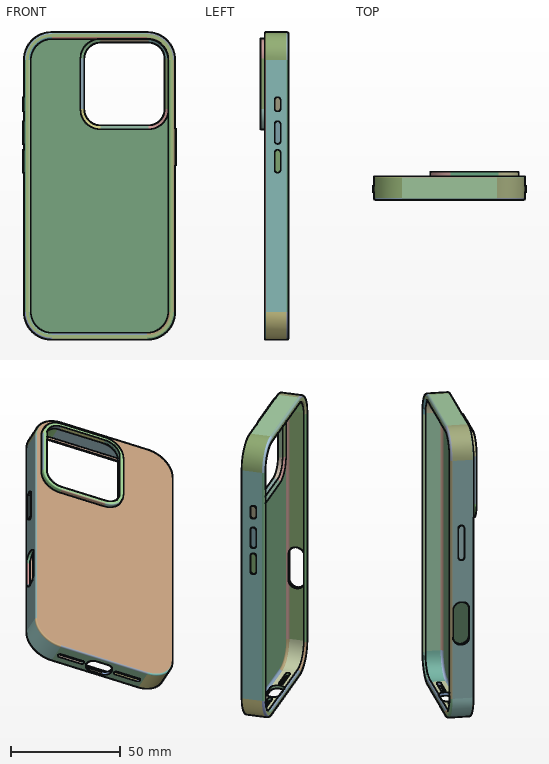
import cadquery as cq
import math

height = 140.0
width = 68.9
depth = 10.9
corner_radius = 12.7
wall = 1.7
back_thickness = 1.4
rim_fillet = 1.0
back_fillet = 0.7

lip_width = 3.2
lip_height = 1.1

cavity_fillet = 1.1

frame_left = -8.8
frame_right = 31.5
frame_bottom = 25.6
frame_top = 67.1
frame_radius = 9.2
frame_rise = 2.0
frame_edge_fillet = 0.4
frame_wall = 2.0
window_flare = 1.8
flare_depth = 1.1

button_width = 2.8
button_rise = 0.49
button_y = 5.0
left_buttons = [(33.9, 40.3), (19.0, 29.4), (6.0, 16.4)]
right_buttons = [(9.4, 26.0)]

side_slot_bottom = -31.5
side_slot_top = -10.9
side_slot_width = 7.5

port_length = 12.6
port_width = 6.7
speaker_length = 12.9
speaker_width = 2.0
speaker_x = 14.0
bottom_opening_y = 5.0


def rounded_block(left, right, bottom, top, radius, y_start, y_end, taper=0):
    """Block with its four Y-direction edges rounded; a taper narrows it towards the back."""
    outline = cq.Sketch().rect(right - left, top - bottom).vertices().fillet(radius)
    start = cq.Plane(
        origin=((left + right) / 2, y_start, (bottom + top) / 2), xDir=(1, 0, 0), normal=(0, 1, 0)
    )
    return cq.Workplane(start).placeSketch(outline).extrude(y_end - y_start, taper=taper)


def inset_block(inset, y_start, y_end):
    """Block following the case outline, moved inward by the inset."""
    x_reach = width / 2 - inset
    z_reach = height / 2 - inset
    return rounded_block(-x_reach, x_reach, -z_reach, z_reach, corner_radius - inset, y_start, y_end)


def frame_block(inset, y_start, y_end, taper=0):
    """Block following the camera frame outline, moved inward by the inset."""
    return rounded_block(
        frame_left + inset,
        frame_right - inset,
        frame_bottom + inset,
        frame_top - inset,
        frame_radius - inset,
        y_start,
        y_end,
        taper,
    )


def side_pill(bottom, top, pill_width, x_start, x_end):
    """Round-ended bar along Z, extruded along X."""
    return (
        cq.Workplane("YZ", origin=(x_start, button_y, (bottom + top) / 2))
        .slot2D(top - bottom, pill_width, 90)
        .extrude(x_end - x_start)
    )


def bottom_opening(x_center, length, opening_width):
    """Round-ended cutter along X, passing through the bottom wall."""
    return (
        cq.Workplane("XY", origin=(x_center, bottom_opening_y, -height / 2 - wall))
        .slot2D(length, opening_width)
        .extrude(3 * wall)
    )


half_width = width / 2
floor_y = depth - back_thickness
frame_y = depth + frame_rise

shell = inset_block(0, 0, depth).cut(inset_block(lip_width, 0, floor_y))
shell = shell.faces("<Y").edges().fillet(rim_fillet)
shell = shell.faces(">Y").edges().fillet(back_fillet)
frame = frame_block(0, floor_y, frame_y).faces(">Y").edges().fillet(frame_edge_fillet)
result = shell.union(frame)

cavity = inset_block(wall, lip_height, floor_y).faces(">Y").edges().fillet(cavity_fillet)
result = result.cut(cavity)

window = frame_block(frame_wall, floor_y, frame_y)
flare_angle = math.degrees(math.atan2(window_flare, flare_depth))
flare = frame_block(frame_wall - window_flare, floor_y, floor_y + flare_depth, flare_angle)
result = result.cut(window).cut(flare)

for low, high in left_buttons:
    result = result.union(side_pill(low, high, button_width, -half_width - button_rise, -half_width + wall / 2))
for low, high in right_buttons:
    result = result.union(side_pill(low, high, button_width, half_width - wall / 2, half_width + button_rise))

side_slot = side_pill(
    side_slot_bottom, side_slot_top, side_slot_width, half_width - 2 * wall, half_width + wall
)
result = result.cut(side_slot)

result = result.cut(bottom_opening(0, port_length, port_width))
for side in (-1, 1):
    result = result.cut(bottom_opening(side * speaker_x, speaker_length, speaker_width))